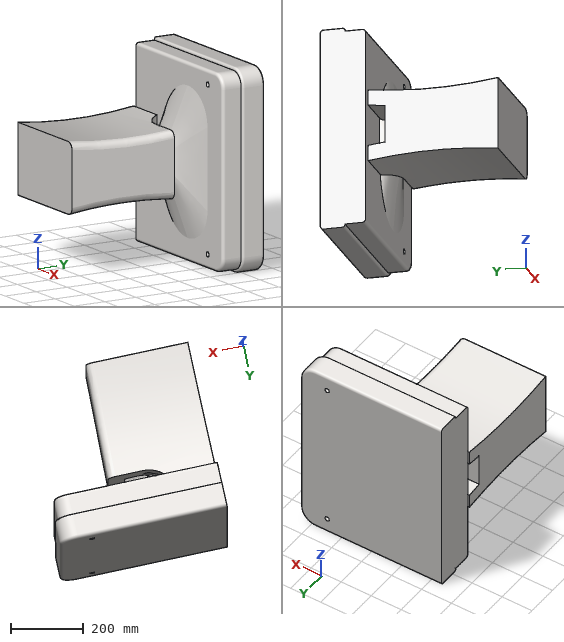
import cadquery as cq


panel_length = 470.0
panel_height = 580.5
panel_thickness = 130.0
rim_thickness = 71.0
rim_step = 8.5
rim_corner_radius = 50.0
panel_edge_radius = 9.0
rim_lip_radius = 7.0

hole_diameter = 14.0
hole_x = 381.0
hole_z = panel_height / 2 - rim_corner_radius

leg_gap = 7.5
leg_end = 380.0
leg_half_height = 103.5
leg_waist_half_height = 90.5
leg_top_length = 295.5
leg_end_length = 287.0
leg_corner_radius = 21.0

seat_depth = 55.0
slot_half_mouth = 58.5
slot_half_floor = 53.5
scoop_start_x = 125.5
scoop_mid = (143.5, 33.5)
scoop_end_x = 199.5

boss_left_x = 136.5
neck_left_x = 200.0
boss_right_x = 381.0
neck_right_x = 249.5
boss_crest_x = 275.5
neck_crest_x = 223.5
boss_half_height = 216.0
neck_half_height = 37.0
boss_right_half_height = 119.0
neck_right_half_height = 26.0
strip_half_height = 35.0
neck_start = 44.5
flare_power_x = 1.7
flare_power_z = 1.4
boss_steps = 10
quarter_handle = 4 / 3 * (2**0.5 - 1)


def rounded_end_plate(length, height, corner_radius, y_front, y_back):
    """Plate with a square end at X = 0 and rounded corners at the far end."""
    return (
        cq.Workplane("XY")
        .box(length, y_back - y_front, height, centered=(False, False, True))
        .translate((0, y_front, 0))
        .edges("|Y and >X")
        .fillet(corner_radius)
    )


def round_rim(plate, face, radius):
    """Round the border of one face, leaving its edge on the X = 0 end sharp."""
    return plate.faces(face).edges("not <X").fillet(radius)


def make_panel_plate():
    """Stepped panel with a larger rim at the back and two through holes."""
    rim_front = panel_thickness - rim_thickness
    rim = rounded_end_plate(
        panel_length, panel_height, rim_corner_radius, rim_front, panel_thickness
    )
    rim = round_rim(rim, ">Y", panel_edge_radius)
    rim = round_rim(rim, "<Y", rim_lip_radius)
    front = rounded_end_plate(
        panel_length - rim_step,
        panel_height - 2 * rim_step,
        rim_corner_radius - rim_step,
        0,
        panel_thickness - rim_thickness / 2,
    )
    front = round_rim(front, "<Y", panel_edge_radius)
    holes = (
        cq.Workplane("XZ")
        .pushPoints([(hole_x, hole_z), (hole_x, -hole_z)])
        .circle(hole_diameter / 2)
        .extrude(-panel_thickness)
    )
    return rim.union(front).cut(holes)


def blend(start, target, weight):
    """Value between a start (weight 0) and a target (weight 1)."""
    return start + (target - start) * weight


def quarter_ellipse(start, corner, end):
    """Control points of a cubic curve that follows a quarter ellipse inside a corner."""
    start_handle = tuple(blend(s, c, quarter_handle) for s, c in zip(start, corner))
    end_handle = tuple(blend(e, c, quarter_handle) for e, c in zip(end, corner))
    return [start, start_handle, end_handle, end]


def boss_section(depth):
    """Outline of the boss at a distance in front of the panel."""
    flare = max(0, 1 - depth / neck_start)
    weight_x = flare**flare_power_x
    weight_z = flare**flare_power_z
    bowl = (1 - (depth / seat_depth) ** 2) ** 0.5

    left = blend(neck_left_x, boss_left_x, bowl)
    right = blend(neck_right_x, boss_right_x, weight_x)
    crest_x = blend(neck_crest_x, boss_crest_x, weight_x)
    crest_z = blend(neck_half_height, boss_half_height, weight_z)
    right_z = blend(neck_right_half_height, boss_right_half_height, weight_z)

    corners = [
        (left, strip_half_height),
        (crest_x, crest_z),
        (right, right_z),
        (right, -right_z),
        (crest_x, -crest_z),
        (left, -strip_half_height),
    ]
    top_left, top, top_right, bottom_right, bottom, bottom_left = corners
    return (
        cq.Workplane("XZ", origin=(0, -depth, 0))
        .moveTo(*bottom_left)
        .lineTo(*top_left)
        .bezier(quarter_ellipse(top_left, (left, crest_z), top))
        .bezier(quarter_ellipse(top, (right, crest_z), top_right))
        .lineTo(*bottom_right)
        .bezier(quarter_ellipse(bottom_right, (right, -crest_z), bottom))
        .bezier(quarter_ellipse(bottom, (left, -crest_z), bottom_left))
        .close()
        .val()
    )


def make_boss():
    """Smooth boss, bowl-shaped on the left and flared on the right, down to a short neck."""
    sections = [boss_section(seat_depth * step / boss_steps) for step in range(boss_steps + 1)]
    return cq.Workplane(cq.occ_impl.shapes.loft(sections, cap=True))


def make_leg():
    """Waisted leg, tapered towards its end, with a slot that straddles the boss."""
    waist_y = -(leg_gap + leg_end) / 2
    side = (
        cq.Workplane("YZ")
        .moveTo(-leg_gap, -leg_half_height)
        .lineTo(-leg_gap, leg_half_height)
        .threePointArc((waist_y, leg_waist_half_height), (-leg_end, leg_half_height))
        .lineTo(-leg_end, -leg_half_height)
        .threePointArc((waist_y, -leg_waist_half_height), (-leg_gap, -leg_half_height))
        .close()
        .extrude(leg_top_length)
    )
    plan = (
        cq.Workplane("XY")
        .moveTo(0, -leg_gap)
        .lineTo(scoop_start_x, -leg_gap)
        .threePointArc((scoop_mid[0], -scoop_mid[1]), (scoop_end_x, -seat_depth))
        .lineTo(leg_top_length, -seat_depth)
        .lineTo(leg_end_length, -leg_end)
        .lineTo(0, -leg_end)
        .close()
        .extrude(leg_half_height, both=True)
    )
    leg = side.intersect(plan).faces(">X").edges("not |Z").fillet(leg_corner_radius)
    slot = (
        cq.Workplane("YZ")
        .polyline(
            [
                (-leg_gap, -slot_half_mouth),
                (-leg_gap, slot_half_mouth),
                (-seat_depth, slot_half_floor),
                (-seat_depth, -slot_half_floor),
            ]
        )
        .close()
        .extrude(leg_top_length)
    )
    return leg.cut(slot)


panel = make_panel_plate().union(make_boss())
leg = make_leg()

result = cq.Compound.makeCompound([panel.val(), leg.val()])